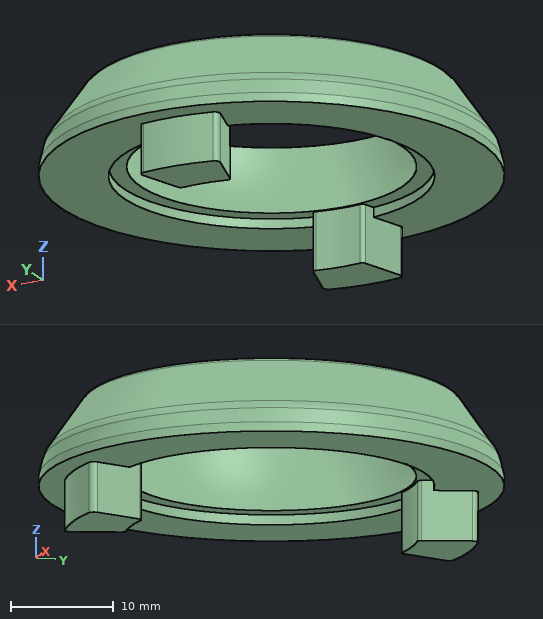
import cadquery as cq
import math

outer_radius = 22.65
body_height = 8.4
base_band_height = 0.95
lower_cone_top_radius = 22.3
lower_cone_top_height = 2.45
main_cone_base_radius = 21.9
main_cone_base_height = 3.25
main_cone_top_radius = 18.55
rim_edge_height = 0.25
rim_outer_radius = 18.2

bowl_top_radius = 16.05
lip_radius = 14.1
lip_height = 1.0
recess_radius = 15.85

leg_outer_radius = 20.25
leg_inner_radius = 14.3
leg_height = 5.05
leg_outer_half_angle = math.radians(12.6)
leg_inner_half_angle = math.radians(11.1)
leg_outer_fillet = 0.6
leg_inner_fillet = 0.4


def make_ring():
    """Revolve the ring section, drawn with radius along X and height along Z."""
    main_cone_top_height = body_height - rim_edge_height
    section = (
        cq.Workplane("XZ")
        .moveTo(recess_radius, 0)
        .lineTo(outer_radius, 0)
        .lineTo(outer_radius, base_band_height)
        .lineTo(lower_cone_top_radius, lower_cone_top_height)
        .tangentArcPoint((main_cone_base_radius, main_cone_base_height), relative=False)
        .lineTo(main_cone_top_radius, main_cone_top_height)
        .tangentArcPoint((rim_outer_radius, body_height), relative=False)
        .lineTo(bowl_top_radius, body_height)
    )
    wall_drop = body_height - lip_height
    wall_inset = bowl_top_radius - lip_radius
    bowl_wall_radius = (wall_drop**2 + wall_inset**2) / (2 * wall_inset)
    half_sweep = math.asin(wall_drop / bowl_wall_radius) / 2
    wall_middle = (
        bowl_top_radius - bowl_wall_radius * (1 - math.cos(half_sweep)),
        body_height - bowl_wall_radius * math.sin(half_sweep),
    )
    section = (
        section.threePointArc(wall_middle, (lip_radius, lip_height))
        .lineTo(recess_radius, lip_height)
        .close()
    )
    return section.revolve(360, (0, 0, 0), (0, 1, 0))


def make_leg():
    """Make the +Y leg, a ring sector with rounded upright edges that reaches up to the lip."""
    def sector_point(radius, angle):
        return (radius * math.sin(angle), radius * math.cos(angle))

    leg = (
        cq.Workplane("XY", origin=(0, 0, -leg_height))
        .moveTo(*sector_point(leg_inner_radius, -leg_inner_half_angle))
        .threePointArc((0, leg_inner_radius), sector_point(leg_inner_radius, leg_inner_half_angle))
        .lineTo(*sector_point(leg_outer_radius, leg_outer_half_angle))
        .threePointArc((0, leg_outer_radius), sector_point(leg_outer_radius, -leg_outer_half_angle))
        .close()
        .extrude(leg_height + lip_height)
    )
    leg = leg.edges("|Z").edges(">Y").fillet(leg_outer_fillet)
    return leg.edges("|Z").edges("<Y").fillet(leg_inner_fillet)


leg = make_leg()
result = make_ring()
for turn in (0, 180):
    result = result.union(leg.rotate((0, 0, 0), (0, 0, 1), turn))